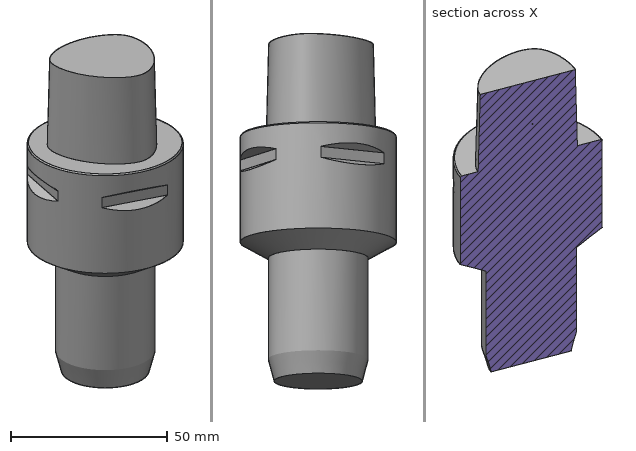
import cadquery as cq
import math

total_height = 110.0
flange_diameter = 50.0
flange_face_z = 80.0
flange_edge_chamfer = 0.4

nose_diameter = 32.0
nose_top_z = 40.0
flange_cone_angle = 30.0
tip_height = 7.0
tip_cone_angle = 15.0

shank_base_radius = 17.55
shank_lobe_height = 1.2
shank_taper = 1 / 20
shank_outline_points = 48

groove_count = 4
groove_first_angle = 45.0
groove_below_face = 9.9
groove_floor_height = 3.5
groove_depth = 2.9
groove_wall_angle = 30.0


def make_turned_body():
    """Revolve the tip, nose, cone and flange about Z."""
    flange_radius = flange_diameter / 2
    nose_radius = nose_diameter / 2
    tip_radius = nose_radius - tip_height * math.tan(math.radians(tip_cone_angle))
    cone_height = (flange_radius - nose_radius) * math.tan(math.radians(flange_cone_angle))
    profile = [
        (0, 0),
        (tip_radius, 0),
        (nose_radius, tip_height),
        (nose_radius, nose_top_z),
        (flange_radius, nose_top_z + cone_height),
        (flange_radius, flange_face_z - flange_edge_chamfer),
        (flange_radius - flange_edge_chamfer, flange_face_z),
        (0, flange_face_z),
    ]
    return cq.Workplane("XZ").polyline(profile).close().revolve(360, (0, 0), (0, 1))


def lobed_outline(mean_radius):
    """Points of a constant-width three-lobed curve with one lobe toward +Y."""
    points = []
    for i in range(shank_outline_points):
        normal_angle = -math.pi / 2 + 2 * math.pi * i / shank_outline_points
        lobe_phase = 3 * (normal_angle - math.pi / 2)
        support = mean_radius + shank_lobe_height * math.cos(lobe_phase)
        support_rate = -3 * shank_lobe_height * math.sin(lobe_phase)
        x = support * math.cos(normal_angle) - support_rate * math.sin(normal_angle)
        y = support * math.sin(normal_angle) + support_rate * math.cos(normal_angle)
        points.append((x, y))
    return points


def make_shank():
    """Loft the lobed shank from the flange face to its narrower top."""
    shank_length = total_height - flange_face_z
    shank_top_radius = shank_base_radius - shank_length * shank_taper / 2
    return (
        cq.Workplane("XY", origin=(0, 0, flange_face_z))
        .spline(lobed_outline(shank_base_radius), periodic=True)
        .close()
        .workplane(offset=shank_length)
        .spline(lobed_outline(shank_top_radius), periodic=True)
        .close()
        .loft(combine=True, ruled=True)
    )


def make_groove_cutter():
    """Straight trapezoidal bar that widens outward, lying on the +X side."""
    floor_x = flange_diameter / 2 - groove_depth
    outer_x = flange_diameter / 2 + groove_depth
    center_z = flange_face_z - groove_below_face
    half_floor = groove_floor_height / 2
    half_outer = half_floor + (outer_x - floor_x) * math.tan(math.radians(groove_wall_angle))
    section = [
        (floor_x, center_z - half_floor),
        (outer_x, center_z - half_outer),
        (outer_x, center_z + half_outer),
        (floor_x, center_z + half_floor),
    ]
    return cq.Workplane("XZ").polyline(section).close().extrude(flange_diameter / 2, both=True)


result = make_turned_body().union(make_shank())
groove_cutter = make_groove_cutter()
for index in range(groove_count):
    angle = groove_first_angle + index * 360 / groove_count
    result = result.cut(groove_cutter.rotate((0, 0, 0), (0, 0, 1), angle))